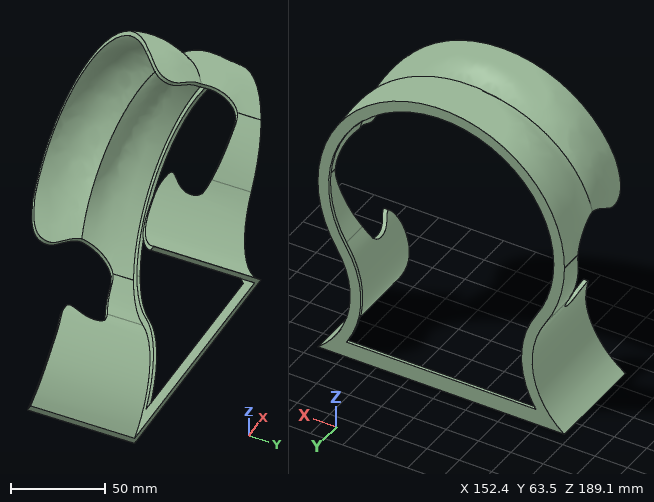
import cadquery as cq
import math

half_width = 76.2
depth = 63.5
height = 189.12

wall = 2.54
plate_thickness = 2.0
frame_width = 6.7
bar_height = 9.9

rim_drop = 3.2
head_z = height - rim_drop - half_width
crown_rise = height - head_z
rim_rise = crown_rise - rim_drop
valley_rise = crown_rise - 10.7
valley_half_width = half_width - 1.2
valley_y = -34.0

rear_lobe = [
    (0.0, rim_rise, half_width),
    (-15.6, crown_rise, half_width),
    (-23.0, crown_rise - 1.4, half_width - 0.2),
    (-28.0, crown_rise - 4.6, half_width - 0.6),
    (valley_y, valley_rise, valley_half_width),
]
front_lobe = [
    (valley_y, valley_rise, valley_half_width),
    (-42.0, crown_rise - 3.1, half_width - 0.6),
    (-48.8, crown_rise - 0.6, half_width - 0.3),
    (-depth, rim_rise, half_width - 0.3),
]

neck_z = 41.0
neck_half_width = (
    2 * half_width**2 - head_z**2 + 2 * head_z * neck_z
) / (2 * half_width)
neck_flare = half_width - neck_half_width
neck_radius = (neck_flare**2 + neck_z**2) / (2 * neck_flare)
neck_x = neck_half_width + neck_radius


def arch_section(y, rise, half_span):
    """Half ellipse closed by its base line, in a plane of constant Y."""
    centre = cq.Vector(0, y, head_z)
    arc = cq.Edge.makeEllipse(
        half_span, rise, centre, cq.Vector(0, -1, 0), cq.Vector(1, 0, 0), 0, 180
    )
    base = cq.Edge.makeLine(arc.endPoint(), arc.startPoint())
    return cq.Wire.assembleEdges([arc, base])


def arch_body(inset):
    """Two-lobed arch, with every section shrunk by the inset."""
    lobes = []
    for lobe in (rear_lobe, front_lobe):
        sections = [arch_section(y, rise - inset, span - inset) for y, rise, span in lobe]
        lobes.append(cq.Workplane(obj=cq.Solid.makeLoft(sections)))
    return lobes[0].union(lobes[1])


def flank_outline(inset):
    """Outline of the head and flanks moved inward by the inset."""
    head_r = half_width - inset
    neck_r = neck_radius + inset
    join_angle = math.atan2(head_z - neck_z, neck_x)
    join_x = head_r * math.cos(join_angle)
    join_z = head_z - head_r * math.sin(join_angle)
    half_angle = join_angle / 2
    upper_x = head_r * math.cos(half_angle)
    upper_z = head_z - head_r * math.sin(half_angle)
    waist_x = neck_x - neck_r
    foot_x = neck_x - math.sqrt(neck_r**2 - neck_z**2)
    return (
        cq.Workplane("XZ")
        .moveTo(foot_x, 0)
        .threePointArc((waist_x, neck_z), (join_x, join_z))
        .threePointArc((upper_x, upper_z), (head_r, head_z))
        .threePointArc((0, head_z + head_r), (-head_r, head_z))
        .threePointArc((-upper_x, upper_z), (-join_x, join_z))
        .threePointArc((-waist_x, neck_z), (-foot_x, 0))
        .close()
    )


def lower_zone(top_z):
    """Oversized block holding everything between Z = 0 and the given height."""
    return cq.Workplane("XY").box(4 * half_width, 4 * depth, top_z, centered=(True, True, False))


def shell():
    """Thin wall: two-lobed arch over straight flanks."""
    arch = arch_body(0).cut(arch_body(wall))
    flanks = flank_outline(0).extrude(depth).cut(flank_outline(wall).extrude(depth))
    return flanks.intersect(lower_zone(head_z)).union(arch)


def side_window():
    """Opening swept across X that shapes the front edge of both sides."""
    lobe_edge_z = 140.0
    clearance = 10.0
    edge = [
        (-61.5, 126.0),
        (-57.6, 119.2),
        (-52.4, 117.4),
        (-44.7, 120.3),
        (-36.6, 124.0),
        (-29.3, 124.0),
        (-20.4, 120.0),
        (-14.3, 110.5),
        (-15.6, 99.0),
        (-19.6, 82.8),
        (-24.2, 67.0),
        (-28.8, 60.0),
        (-36.1, 59.3),
        (-41.5, 62.9),
        (-46.3, 66.9),
        (-50.0, 62.8),
        (-54.7, 48.8),
        (-59.3, 28.5),
        (-depth, 0.0),
    ]
    return (
        cq.Workplane("YZ")
        .moveTo(-depth, lobe_edge_z)
        .spline(edge, includeCurrent=True)
        .lineTo(-depth - clearance, 0)
        .lineTo(-depth - clearance, lobe_edge_z)
        .close()
        .extrude(2 * half_width, both=True)
    )


def back_frame():
    """Flat frame around the back with a cross bar between the feet."""
    plate = flank_outline(wall / 2).extrude(plate_thickness)
    opening = flank_outline(frame_width).extrude(plate_thickness)
    return plate.cut(opening.cut(lower_zone(bar_height)))


result = shell().cut(side_window()).union(back_frame())